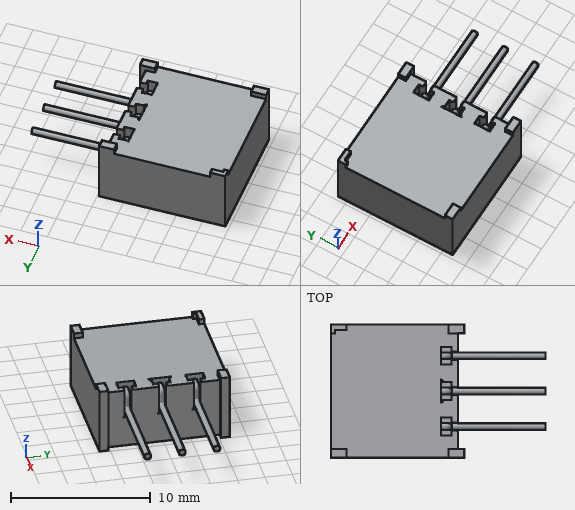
import cadquery as cq

total_length = 15.39
body_side = 9.57
total_height = 4.95
foot_height = 0.4
foot_length = 1.14
foot_width = 0.65
end_recess = 0.45

marker_long_leg_width = 0.4
marker_short_leg_width = 0.31

pin_diameter = 0.5
pin_pitch = 2.54
pin_height = 2.65
pin_drop = 1.26
pin_embedded_length = 0.51
pin_stub = 0.26
bend_radius = 0.3

pocket_length = 0.74
pocket_width = 1.28
pocket_inset = 1.23
pocket_floor_fillet = 0.15
throat_width = 0.58
throat_fillet = 0.1
flare_length = 0.15
flare_back_width = 1.66
flare_front_width = 1.39

half_side = body_side / 2
deck_height = total_height - foot_height
end_face_x = body_side - end_recess
pocket_back_x = end_face_x - pocket_inset
pocket_front_x = pocket_back_x + pocket_length
pocket_floor = pin_height - throat_width / 2
pocket_depth = deck_height - pocket_floor
pin_positions = [-pin_pitch, 0, pin_pitch]


def block(x_min, x_max, y_min, y_max, z_min, z_max):
    """Box between two opposite corners."""
    size = (x_max - x_min, y_max - y_min, z_max - z_min)
    return cq.Workplane().box(*size, centered=False).translate((x_min, y_min, z_min))


def make_body():
    body = block(0, body_side, -half_side, half_side, 0, deck_height)
    inner_half = half_side - foot_width
    return body.cut(block(end_face_x, body_side, -inner_half, inner_half, 0, deck_height))


def make_feet():
    """Three rectangular feet and the two legs of the marker foot at the -X, +Y corner."""
    far_x = body_side - foot_length
    inner_y = half_side - foot_width
    marker_y = half_side - marker_long_leg_width
    footprints = [
        (0, foot_length, -half_side, -inner_y),
        (far_x, body_side, -half_side, -inner_y),
        (far_x, body_side, inner_y, half_side),
        (0, foot_length, marker_y, half_side),
        (0, marker_short_leg_width, inner_y, half_side),
    ]
    return [block(*footprint, deck_height, total_height) for footprint in footprints]


def make_pocket(y):
    """Pocket with a rounded back floor edge, opening to +X through a round-edged throat."""
    half_pocket = pocket_width / 2
    half_throat = throat_width / 2
    pocket = block(
        pocket_back_x, pocket_front_x, y - half_pocket, y + half_pocket, pocket_floor, deck_height
    )
    pocket = pocket.edges("<X and <Z").fillet(pocket_floor_fillet)
    mouth_half = half_throat + throat_fillet
    throat = (
        cq.Workplane(origin=(0, y, pocket_floor))
        .moveTo(pocket_front_x, -mouth_half)
        .radiusArc((pocket_front_x + throat_fillet, -half_throat), throat_fillet)
        .lineTo(end_face_x - throat_fillet, -half_throat)
        .radiusArc((end_face_x, -mouth_half), throat_fillet)
        .lineTo(end_face_x, mouth_half)
        .radiusArc((end_face_x - throat_fillet, half_throat), throat_fillet)
        .lineTo(pocket_front_x + throat_fillet, half_throat)
        .radiusArc((pocket_front_x, mouth_half), throat_fillet)
        .close()
        .extrude(pocket_depth)
    )
    return pocket.union(throat)


def make_flare():
    """Wedge-shaped widening at the back of the middle pocket."""
    flare_front_x = pocket_back_x + flare_length
    return (
        cq.Workplane(origin=(0, 0, pocket_floor + pocket_floor_fillet))
        .moveTo(pocket_back_x, -flare_back_width / 2)
        .lineTo(flare_front_x, -flare_front_width / 2)
        .lineTo(flare_front_x, flare_front_width / 2)
        .lineTo(pocket_back_x, flare_back_width / 2)
        .close()
        .extrude(pocket_depth - pocket_floor_fillet)
    )


def make_pin(y):
    """Wire swept along a stepped path; its first stretch is embedded in the body."""
    start_x = pocket_back_x - pin_embedded_length
    upper_z = pin_height + pin_drop
    bend_x = pocket_back_x + pin_stub
    drop_x = bend_x + bend_radius
    path = (
        cq.Workplane("XZ", origin=(0, y, 0))
        .moveTo(start_x, upper_z)
        .lineTo(bend_x, upper_z)
        .radiusArc((drop_x, upper_z - bend_radius), bend_radius)
        .lineTo(drop_x, pin_height + bend_radius)
        .radiusArc((drop_x + bend_radius, pin_height), -bend_radius)
        .lineTo(total_length, pin_height)
    )
    profile = cq.Workplane("YZ", origin=(start_x, y, upper_z)).circle(pin_diameter / 2)
    return profile.sweep(path)


result = make_body()
for foot_block in make_feet():
    result = result.union(foot_block)
for pin_y in pin_positions:
    result = result.cut(make_pocket(pin_y))
result = result.cut(make_flare())
for pin_y in pin_positions:
    result = result.union(make_pin(pin_y))